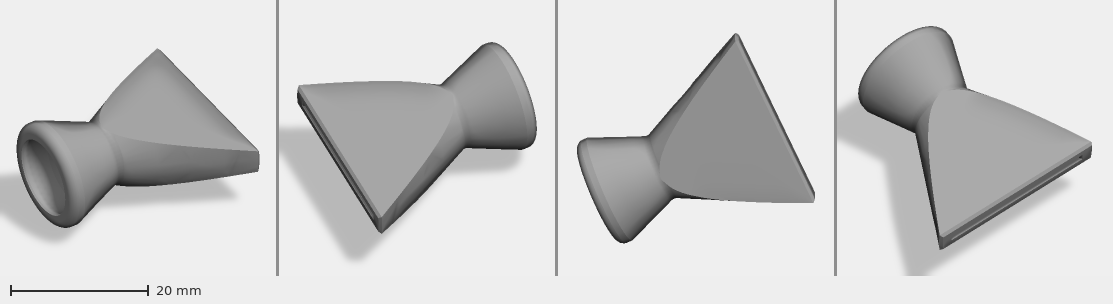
import cadquery as cq
import math

length = 28.67

rim_diameter = 16.3
rim_radius = rim_diameter / 2
rim_face_radius = 6.9
rim_round_depth = 1.05
rim_depth = 2.0

socket_radius = 5.93
lip_width = 0.15
lip_depth = 0.3
ball_seat_radius = socket_radius - lip_width
ball_seat_end = 4.35
ball_center = (lip_depth + ball_seat_end) / 2
ball_radius = math.hypot(ball_seat_radius, ball_center - lip_depth)

waist = 10.1
waist_radius = 5.0
neck_start = 9.58
neck_start_radius = 5.1
neck_end = 10.75
neck_end_radius = 5.2
bore_radius = 3.2
bore_start = 9.2
bore_start_radius = 3.38
bore_end = 11.1
bore_end_radius = 3.45

mouth_diameter = 27.6
mouth_radius = mouth_diameter / 2
mouth_chamfer = 0.4
mouth_half_height = 1.95
mouth_edge = length - mouth_chamfer
mouth_wall = 1.98
slot_half_height = 0.55

wedge_slope = (waist_radius - mouth_half_height) / (mouth_edge - waist)


def revolve_about_y(profile):
    return profile.close().revolve(360, (0, 0, 0), (0, 1, 0))


def extrude_across(profile):
    return profile.close().extrude(mouth_radius, both=True)


def wedge(half_height, half_height_y):
    """Block from waist to mouth between two planes; half_height is measured at half_height_y."""
    waist_half_height = half_height + wedge_slope * (half_height_y - waist)
    end_half_height = half_height - wedge_slope * (length - half_height_y)
    return extrude_across(
        cq.Workplane("YZ")
        .moveTo(waist, -waist_half_height)
        .lineTo(length, -end_half_height)
        .lineTo(length, end_half_height)
        .lineTo(waist, waist_half_height)
    )


def outer_revolve():
    """Rim, socket cone, rounded neck and the cone that widens to the chamfered mouth."""
    return revolve_about_y(
        cq.Workplane("XY")
        .lineTo(rim_face_radius, 0)
        .tangentArcPoint((rim_radius, rim_round_depth), relative=False)
        .lineTo(rim_radius, rim_depth)
        .lineTo(neck_start_radius, neck_start)
        .threePointArc((waist_radius, waist), (neck_end_radius, neck_end))
        .lineTo(mouth_radius, mouth_edge)
        .lineTo(mouth_radius - mouth_chamfer, length)
        .lineTo(0, length)
    )


def inner_revolve():
    """Ball socket, rounded bore at the neck and the cone that fans out to the mouth."""
    return revolve_about_y(
        cq.Workplane("XY")
        .lineTo(socket_radius, 0)
        .lineTo(ball_seat_radius, lip_depth)
        .threePointArc((ball_radius, ball_center), (ball_seat_radius, ball_seat_end))
        .lineTo(bore_start_radius, bore_start)
        .threePointArc((bore_radius, waist), (bore_end_radius, bore_end))
        .lineTo(mouth_radius - mouth_wall, length)
        .lineTo(0, length)
    )


def socket_end():
    """Block that holds everything on the socket side of the waist."""
    return cq.Workplane("XZ").rect(2 * mouth_radius, 2 * mouth_radius).extrude(-waist)


def mouth_bevel():
    """Block beyond the waist whose top and bottom corners are chamfered at the mouth."""
    end_half_height = mouth_half_height - mouth_chamfer
    return extrude_across(
        cq.Workplane("YZ")
        .moveTo(waist, -rim_radius)
        .lineTo(mouth_edge, -mouth_half_height)
        .lineTo(length, -end_half_height)
        .lineTo(length, end_half_height)
        .lineTo(mouth_edge, mouth_half_height)
        .lineTo(waist, rim_radius)
    )


outer_envelope = socket_end().union(wedge(mouth_half_height, mouth_edge).intersect(mouth_bevel()))
passage_envelope = socket_end().union(wedge(slot_half_height, length))

body = outer_revolve().intersect(outer_envelope)
passage = inner_revolve().intersect(passage_envelope)
result = body.cut(passage)